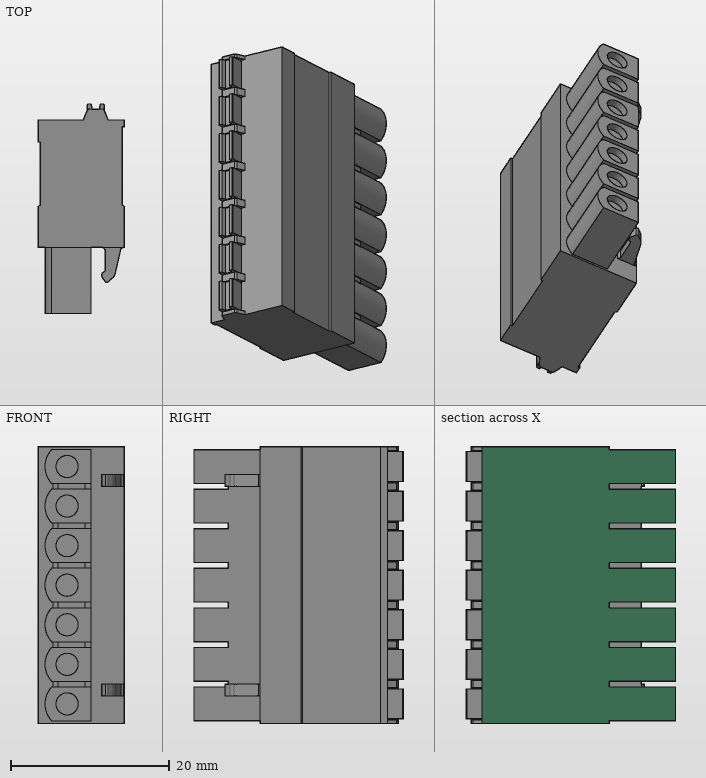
import cadquery as cq


pole_count = 7
pole_pitch = 5.0
body_width = 10.9
body_depth = 16.12
body_height = pole_count * pole_pitch
side_recess = 0.25
front_band = 5.2
recess_slope = 0.15
rear_band_left = 2.8
rear_band_right = 0.9

terminal_length = 8.36
terminal_height = 4.3
terminal_left = 0.87
terminal_flat_start = 1.72
terminal_right = 6.7
wire_hole_x = 3.66
wire_hole_diameter = 2.8
wire_hole_depth = 1.0

wall_length = 4.05
left_wall_start = 1.88
left_wall_end = 2.5
right_wall_start = 5.92

latch_thickness = 1.5
latch_inset = 3.5
latch_root_inset = 0.1
latch_length = 4.44
latch_inner_x = 8.47
latch_root_flare = 0.3
latch_stem_length = 2.95
latch_catch_x = 8.1
latch_catch_start = 3.25
latch_catch_end = 3.8
latch_catch_bulge = 0.08
latch_tip_x = 8.66
latch_tip_width = 0.34
latch_tip_rounding = 0.06
latch_shoulder_start_x = 9.46
latch_shoulder_start = 3.82
latch_shoulder_end_x = 9.75
latch_shoulder_end = 3.3
latch_outer_x = 10.47
latch_outer_flare = 0.18

rail_base_left = 5.69
rail_base_right = 8.85
rail_top_left = 6.16
rail_top_right = 8.41
rail_height = 1.35
rail_chamfer = 0.22
socket_width = 3.8
socket_clearance = 0.12
socket_left = 6.2
socket_right = 8.36
socket_projection = 2.02
socket_lip = 0.5
socket_lip_foot = 0.65
socket_tip_chamfer = 0.12


def pole_centre(index):
    return pole_pitch * (index + 0.5)


def plate(outline, bottom, height):
    """Extrude an outline in the XY plane upwards from a given Z."""
    return outline.close().extrude(height).translate((0, 0, bottom))


def box(x_start, x_end, y_start, y_end, z_start, z_end):
    size = (x_end - x_start, y_end - y_start, z_end - z_start)
    return cq.Workplane("XY").box(*size, centered=False).translate((x_start, y_start, z_start))


def make_body():
    recess_right = body_width - side_recess
    left_step = body_depth - rear_band_left
    right_step = body_depth - rear_band_right
    recess_front = front_band + recess_slope
    outline = cq.Workplane("XY").polyline([
        (0, 0),
        (body_width, 0),
        (body_width, front_band),
        (recess_right, recess_front),
        (recess_right, right_step),
        (body_width, right_step),
        (body_width, body_depth),
        (0, body_depth),
        (0, left_step),
        (side_recess, left_step),
        (side_recess, recess_front),
        (0, front_band),
    ])
    return plate(outline, 0, body_height)


def make_terminal(centre_z):
    bottom = centre_z - terminal_height / 2
    top = centre_z + terminal_height / 2
    block = (
        cq.Workplane("XZ")
        .moveTo(terminal_flat_start, bottom)
        .lineTo(terminal_right, bottom)
        .lineTo(terminal_right, top)
        .lineTo(terminal_flat_start, top)
        .threePointArc((terminal_left, centre_z), (terminal_flat_start, bottom))
        .close()
        .extrude(terminal_length)
    )
    hole = (
        cq.Workplane("XZ", origin=(wire_hole_x, -terminal_length, centre_z))
        .circle(wire_hole_diameter / 2)
        .extrude(-wire_hole_depth)
    )
    return block.cut(hole)


def make_gap_walls(lower_pole):
    bottom = pole_centre(lower_pole) + terminal_height / 2
    top = pole_centre(lower_pole + 1) - terminal_height / 2
    left_wall = box(left_wall_start, left_wall_end, -wall_length, 0, bottom, top)
    right_wall = box(right_wall_start, terminal_right, -wall_length, 0, bottom, top)
    return left_wall.union(right_wall)


def make_latch(bottom):
    catch_middle_y = -(latch_catch_start + latch_catch_end) / 2
    tip_half_width = latch_tip_width / 2
    tip_left = latch_tip_x - tip_half_width
    tip_right = latch_tip_x + tip_half_width
    tip_shoulder_y = -(latch_length - latch_tip_rounding)
    outline = (
        cq.Workplane("XY")
        .moveTo(latch_inner_x - latch_root_flare, 0)
        .lineTo(latch_inner_x, -latch_root_flare)
        .lineTo(latch_inner_x, -latch_stem_length)
        .lineTo(latch_catch_x, -latch_catch_start)
        .threePointArc(
            (latch_catch_x - latch_catch_bulge, catch_middle_y),
            (latch_catch_x, -latch_catch_end),
        )
        .lineTo(tip_left, tip_shoulder_y)
        .threePointArc((latch_tip_x, -latch_length), (tip_right, tip_shoulder_y))
        .lineTo(latch_shoulder_start_x, -latch_shoulder_start)
        .tangentArcPoint((latch_shoulder_end_x, -latch_shoulder_end), relative=False)
        .lineTo(latch_outer_x, -latch_outer_flare)
        .lineTo(body_width - latch_root_inset, 0)
    )
    return plate(outline, bottom, latch_thickness)


def make_rail():
    rail_end = body_depth + rail_height
    shoulder = rail_end - rail_chamfer
    outline = cq.Workplane("XY").polyline([
        (rail_base_left, body_depth),
        (rail_base_right, body_depth),
        (rail_top_right, shoulder),
        (rail_top_right - rail_chamfer, rail_end),
        (rail_top_left + rail_chamfer, rail_end),
        (rail_top_left, shoulder),
    ])
    return plate(outline, 0, body_height)


def make_socket_space(centre_z):
    """Gap in the rail that makes room for one contact socket."""
    half_width = socket_width / 2 + socket_clearance
    return box(
        rail_base_left, rail_base_right,
        body_depth, body_depth + rail_height,
        centre_z - half_width, centre_z + half_width,
    )


def make_socket(centre_z):
    tip = body_depth + socket_projection
    floor = body_depth + rail_height
    chamfer_start = tip - socket_tip_chamfer
    outline = cq.Workplane("XY").polyline([
        (socket_left, body_depth),
        (socket_right, body_depth),
        (socket_right, chamfer_start),
        (socket_right - socket_tip_chamfer, tip),
        (socket_right - socket_lip, tip),
        (socket_right - socket_lip_foot, floor),
        (socket_left + socket_lip_foot, floor),
        (socket_left + socket_lip, tip),
        (socket_left + socket_tip_chamfer, tip),
        (socket_left, chamfer_start),
    ])
    return plate(outline, centre_z - socket_width / 2, socket_width)


result = make_body().union(make_rail())

for pole in range(pole_count):
    pole_z = pole_centre(pole)
    result = result.union(make_terminal(pole_z))
    result = result.cut(make_socket_space(pole_z))
    result = result.union(make_socket(pole_z))

for pole in range(pole_count - 1):
    result = result.union(make_gap_walls(pole))

for latch_bottom in (latch_inset, body_height - latch_inset - latch_thickness):
    result = result.union(make_latch(latch_bottom))